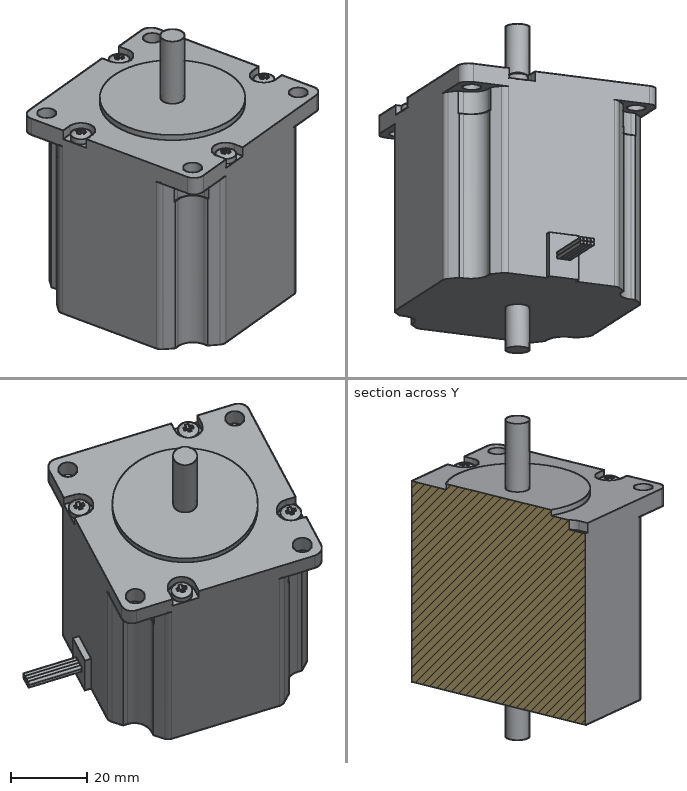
import cadquery as cq
import math

body_width = 56.4
body_height = 56.0
half_width = body_width / 2
flange_thickness = 5.0
flange_corner_radius = 3.0
front_bell_height = 11.1
end_cap_height = 12.0

corner_cut = 12.0
corner_blend_radius = 2.3
bell_channel_radius = 5.05
stack_channel_radius = 4.85
channel_centre = 24.0

shaft_diameter = 6.35
shaft_above_body = 20.6
shaft_below_body = 11.5
pilot_diameter = 38.1
pilot_height = 1.6

mount_hole_diameter = 5.0
mount_hole_spacing = 47.14

screw_along_side = 11.2
screw_from_centre = 25.35
pocket_radius = 3.7
pocket_depth = 2.65
screw_head_diameter = 5.5
screw_rim_height = 1.55
screw_dome_height = 0.95
cross_length = 3.0
cross_width = 0.95
cross_depth = 1.7

cable_block_width = 8.4
cable_block_length = 1.8
lead_columns = 4
lead_rows = 2
lead_diameter = 1.0
lead_pitch = 1.02
lead_end = 44.9


def body_section(z_bottom, z_top, channel_radius):
    """Square prism with cut, blended and channelled corners."""
    height = z_top - z_bottom
    section = cq.Workplane("XY").workplane(offset=z_bottom).rect(body_width, body_width).extrude(height)
    section = section.edges("|Z").chamfer(corner_cut)
    section = section.edges("|Z").fillet(corner_blend_radius)
    for angle in range(0, 360, 90):
        channel = corner_channel(z_bottom, height, channel_radius)
        section = section.cut(channel.rotate((0, 0, 0), (0, 0, 1), angle))
    return section


def corner_channel(z_bottom, height, channel_radius):
    """Quarter-round channel in the (+X, +Y) corner, whose straight walls run out past the corner."""
    inner = channel_centre - channel_radius
    arc_middle = channel_centre - channel_radius * math.sqrt(0.5)
    return (
        cq.Workplane("XY")
        .workplane(offset=z_bottom)
        .moveTo(inner, channel_centre)
        .threePointArc((arc_middle, arc_middle), (channel_centre, inner))
        .lineTo(body_width, inner)
        .lineTo(body_width, body_width)
        .lineTo(inner, body_width)
        .close()
        .extrude(height)
    )


def make_body():
    flange_bottom = body_height - flange_thickness
    bell_bottom = body_height - front_bell_height
    flange = (
        cq.Workplane("XY")
        .workplane(offset=flange_bottom)
        .rect(body_width, body_width)
        .extrude(flange_thickness)
        .edges("|Z")
        .fillet(flange_corner_radius)
        .faces(">Z")
        .workplane()
        .rect(mount_hole_spacing, mount_hole_spacing, forConstruction=True)
        .vertices()
        .hole(mount_hole_diameter)
    )
    stack = body_section(0, bell_bottom, stack_channel_radius)
    bell = body_section(bell_bottom, flange_bottom, bell_channel_radius)
    return stack.union(bell).union(flange)


def make_shaft_and_pilot():
    shaft_length = shaft_below_body + body_height + shaft_above_body
    shaft_bottom = cq.Workplane("XY").workplane(offset=-shaft_below_body)
    shaft = shaft_bottom.circle(shaft_diameter / 2).extrude(shaft_length)
    body_top = cq.Workplane("XY").workplane(offset=body_height)
    pilot = body_top.circle(pilot_diameter / 2).extrude(pilot_height)
    return shaft.union(pilot)


def make_screw_pocket():
    """Round-ended pocket open through the +Y side of the flange."""
    floor = cq.Workplane("XY").workplane(offset=body_height - pocket_depth)
    round_end = floor.center(screw_along_side, screw_from_centre).circle(pocket_radius).extrude(pocket_depth)
    run_out = (
        floor.center(screw_along_side, screw_from_centre + pocket_radius)
        .rect(2 * pocket_radius, 2 * pocket_radius)
        .extrude(pocket_depth)
    )
    return round_end.union(run_out)


def make_screw_head():
    """Domed head with a recess of two crossing V-bottomed slots, standing on z = 0."""
    head_radius = screw_head_diameter / 2
    head_height = screw_rim_height + screw_dome_height
    dome_radius = (head_radius**2 + screw_dome_height**2) / (2 * screw_dome_height)
    dome_centre = head_height - dome_radius
    half_angle = math.asin(head_radius / dome_radius) / 2
    dome_middle = (dome_radius * math.sin(half_angle), dome_centre + dome_radius * math.cos(half_angle))
    head = (
        cq.Workplane("XZ")
        .lineTo(head_radius, 0)
        .lineTo(head_radius, screw_rim_height)
        .threePointArc(dome_middle, (0, head_height))
        .close()
        .revolve(360, (0, 0, 0), (0, 1, 0))
    )
    cross_slot = (
        cq.Workplane("XZ")
        .moveTo(-cross_length / 2, head_height)
        .lineTo(0, head_height - cross_depth)
        .lineTo(cross_length / 2, head_height)
        .close()
        .extrude(cross_width / 2, both=True)
    )
    head = head.cut(cross_slot)
    head = head.cut(cross_slot.rotate((0, 0, 0), (0, 0, 1), 90))
    return head


def add_screws(part):
    pocket = make_screw_pocket()
    head = make_screw_head()
    pocket_floor = body_height - pocket_depth
    for angle in range(0, 360, 90):
        turn = math.radians(angle)
        x = screw_along_side * math.cos(turn) - screw_from_centre * math.sin(turn)
        y = screw_along_side * math.sin(turn) + screw_from_centre * math.cos(turn)
        part = part.cut(pocket.rotate((0, 0, 0), (0, 0, 1), angle))
        part = part.union(head.translate((x, y, pocket_floor)))
    return part


def make_cable():
    """Exit block on the +Y side of the end cap, with parallel leads."""
    block_end = half_width + cable_block_length
    block = (
        cq.Workplane("XY")
        .center(0, half_width + cable_block_length / 2)
        .rect(cable_block_width, cable_block_length)
        .extrude(end_cap_height)
    )
    leads = (
        cq.Workplane("XZ", origin=(0, block_end, end_cap_height / 2))
        .rarray(lead_pitch, lead_pitch, lead_columns, lead_rows)
        .circle(lead_diameter / 2)
        .extrude(block_end - lead_end)
    )
    return block.union(leads)


result = add_screws(make_body().union(make_shaft_and_pilot())).union(make_cable())